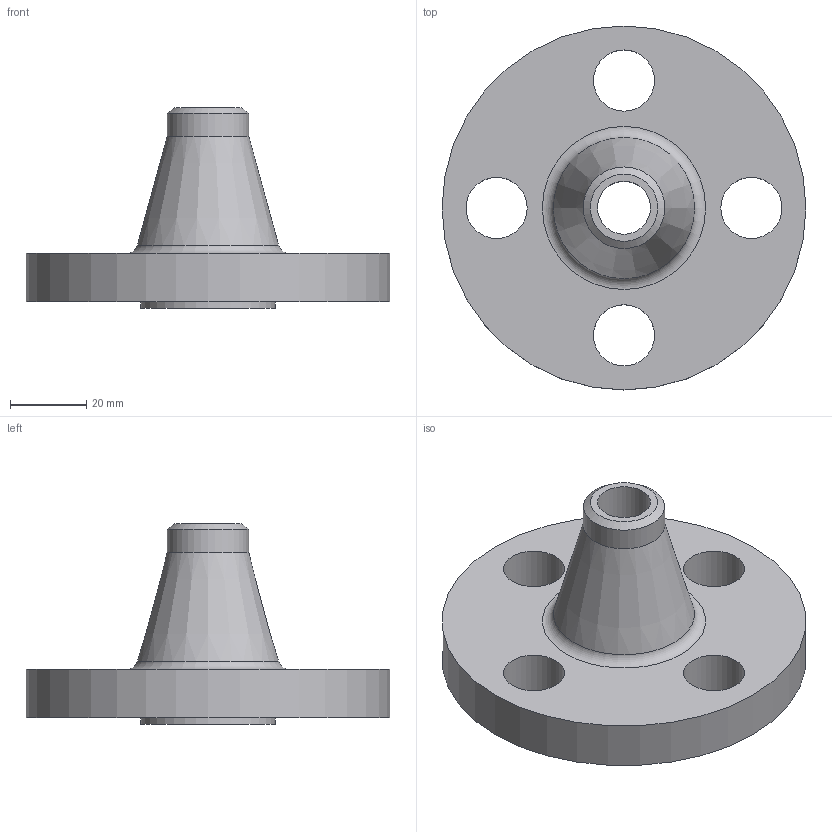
import cadquery as cq
import math

flange_diameter = 95.25
face_diameter = 35.1
face_height = 1.6
flange_top = 14.3

bolt_count = 4
bolt_circle_diameter = 66.7
bolt_hole_diameter = 16.0

total_height = 52.39
bore_diameter = 13.9
neck_diameter = 21.34
neck_length = 7.4
hub_diameter = 38.1
hub_fillet_radius = 3.0
bevel_width = 1.85
bevel_angle = 37.5


def make_disc():
    """Flange disc with the raised sealing face below it."""
    face = cq.Workplane("XY").circle(face_diameter / 2).extrude(face_height)
    disc = (
        cq.Workplane("XY", origin=(0, 0, face_height))
        .circle(flange_diameter / 2)
        .extrude(flange_top - face_height)
    )
    return face.union(disc)


def make_neck():
    """Tapered hub with a foot fillet, a straight neck and a bevelled tip."""
    hub_radius = hub_diameter / 2
    neck_radius = neck_diameter / 2
    neck_start = total_height - neck_length
    bevel_height = bevel_width * math.tan(math.radians(bevel_angle))

    taper = math.atan2(hub_radius - neck_radius, neck_start - flange_top)
    tangent_length = hub_fillet_radius / math.tan((math.pi / 2 + taper) / 2)
    foot = (hub_radius + tangent_length, flange_top)
    cone_start = (
        hub_radius - tangent_length * math.sin(taper),
        flange_top + tangent_length * math.cos(taper),
    )

    profile = (
        cq.Workplane("XZ")
        .moveTo(0, face_height)
        .lineTo(foot[0], face_height)
        .lineTo(*foot)
        .radiusArc(cone_start, hub_fillet_radius)
        .lineTo(neck_radius, neck_start)
        .lineTo(neck_radius, total_height - bevel_height)
        .lineTo(neck_radius - bevel_width, total_height)
        .lineTo(0, total_height)
        .close()
    )
    return profile.revolve(360, (0, 0, 0), (0, 1, 0))


def make_bore():
    """Straight bore through the whole part."""
    return cq.Workplane("XY").circle(bore_diameter / 2).extrude(total_height)


def make_bolt_holes():
    """Bolt holes through the disc, the first one on the X axis."""
    return (
        cq.Workplane("XY")
        .polarArray(bolt_circle_diameter / 2, 0, 360, bolt_count)
        .circle(bolt_hole_diameter / 2)
        .extrude(flange_top)
    )


result = make_disc().union(make_neck()).cut(make_bore()).cut(make_bolt_holes())